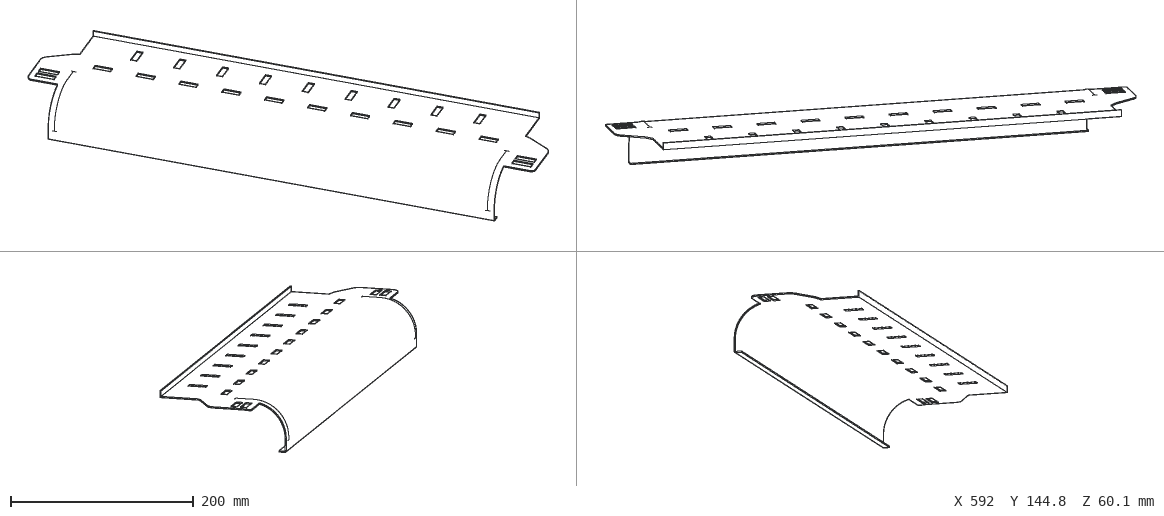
import cadquery as cq
import math

sheet_thickness = 1.5
overall_length = 592.0
body_length = 520.0
overall_depth = 144.8
overall_height = 60.1

lip_height = 7.6
joggle_rise = 1.0
joggle_rear_y = -44.0
joggle_front_y = -48.3
nose_radius = 39.3
flange_depth = 8.5
flange_bend_radius = 2.0

bead_x = 252.5
bead_width = 8.0
bead_height = 0.7
bead_embed = sheet_thickness / 2
bead_rear_y = -80.5
bead_bottom_z = 9.0

wall_y = bead_height - overall_depth
nose_axis_y = wall_y + nose_radius
rear_top_z = overall_height - lip_height + sheet_thickness
deck_top_z = rear_top_z + joggle_rise
nose_axis_z = deck_top_z - nose_radius

tab_front_y = -113.6
tab_shoulder_y = -66.0
tab_rear_radius = 10.0
tab_front_radius = 5.0

slot_pitch = 50.0
slot_length = 20.0
slot_width = 7.0
rear_slot_count = 9
rear_slot_y = -26.0
deck_slot_count = 10
deck_slot_y = -66.0
tab_slot_length = 22.0
tab_slot_x = 278.0
tab_slot_ys = (-92.6, -103.4)


def bent_sheet():
    """Bent sheet along the full length: lip, joggled deck, rounded nose and inward flange."""
    inner_radius = nose_radius - sheet_thickness
    diagonal = math.sqrt(0.5)
    bend_y = wall_y + flange_bend_radius
    bend_reach = flange_bend_radius * diagonal
    inner_bend_radius = flange_bend_radius - sheet_thickness
    inner_bend_reach = inner_bend_radius * diagonal
    deck_bottom_z = deck_top_z - sheet_thickness
    rear_bottom_z = rear_top_z - sheet_thickness
    inner_wall_y = wall_y + sheet_thickness
    profile = (
        cq.Workplane("YZ", origin=(-overall_length / 2, 0, 0))
        .moveTo(0, overall_height)
        .lineTo(-sheet_thickness, overall_height)
        .lineTo(-sheet_thickness, rear_top_z)
        .lineTo(joggle_rear_y, rear_top_z)
        .lineTo(joggle_front_y, deck_top_z)
        .lineTo(nose_axis_y, deck_top_z)
        .threePointArc(
            (nose_axis_y - nose_radius * diagonal, nose_axis_z + nose_radius * diagonal),
            (wall_y, nose_axis_z),
        )
        .lineTo(wall_y, flange_bend_radius)
        .threePointArc(
            (bend_y - bend_reach, flange_bend_radius - bend_reach),
            (bend_y, 0),
        )
        .lineTo(wall_y + flange_depth, 0)
        .lineTo(wall_y + flange_depth, sheet_thickness)
        .lineTo(bend_y, sheet_thickness)
        .threePointArc(
            (bend_y - inner_bend_reach, flange_bend_radius - inner_bend_reach),
            (inner_wall_y, flange_bend_radius),
        )
        .lineTo(inner_wall_y, nose_axis_z)
        .threePointArc(
            (nose_axis_y - inner_radius * diagonal, nose_axis_z + inner_radius * diagonal),
            (nose_axis_y, deck_bottom_z),
        )
        .lineTo(joggle_front_y, deck_bottom_z)
        .lineTo(joggle_rear_y, rear_bottom_z)
        .lineTo(0, rear_bottom_z)
        .close()
    )
    return profile.extrude(overall_length)


def plan_outline():
    """Full-height block with the plan shape: a rectangular body with a tapered tab at each end."""
    body = (
        cq.Workplane("XY", origin=(0, -overall_depth, 0))
        .box(body_length, overall_depth, overall_height, centered=(True, False, False))
    )
    half_body = body_length / 2
    half_overall = overall_length / 2
    tabs = (
        cq.Workplane("XY")
        .polyline([
            (-half_body, joggle_rear_y),
            (half_body, joggle_rear_y),
            (half_overall, tab_shoulder_y),
            (half_overall, tab_front_y),
            (-half_overall, tab_front_y),
            (-half_overall, tab_shoulder_y),
        ])
        .close()
        .extrude(overall_height)
    )
    for side in (-1, 1):
        for corner_y, radius in ((tab_shoulder_y, tab_rear_radius), (tab_front_y, tab_front_radius)):
            corner_point = (side * half_overall, corner_y, overall_height / 2)
            corner = cq.selectors.NearestToPointSelector(corner_point)
            tabs = tabs.edges("|Z").edges(corner).fillet(radius)
    return body.union(tabs)


def slot_row(count, y, size_x, size_y):
    """Row of rectangular cutters at the common pitch, centred on the part."""
    return (
        cq.Workplane("XY", origin=(0, y, 0))
        .rarray(slot_pitch, 1, count, 1)
        .rect(size_x, size_y)
        .extrude(overall_height)
    )


def tab_slots():
    """Two parallel slot cutters in each end tab."""
    places = [(side * tab_slot_x, y) for side in (-1, 1) for y in tab_slot_ys]
    return cq.Workplane("XY").pushPoints(places).rect(tab_slot_length, slot_width).extrude(overall_height)


def bead_section(plane):
    """Cross-section of a bead: two flanks rising to a crest line, with its foot inside the sheet."""
    half_width = bead_width / 2
    return (
        cq.Workplane(plane)
        .polyline([
            (-half_width, -bead_embed),
            (-half_width, 0),
            (0, bead_height),
            (half_width, 0),
            (half_width, -bead_embed),
        ])
        .close()
    )


def bead_end(plane):
    """Cone that rounds off the end of a bead in plan."""
    half_width = bead_width / 2
    return (
        cq.Workplane(plane)
        .polyline([(0, -bead_embed), (0, bead_height), (half_width, 0), (half_width, -bead_embed)])
        .close()
        .revolve(360, (0, 0), (0, 1))
    )


def bead(x):
    """Raised bead running along the deck, around the nose and down the front wall."""
    rear_centre_y = bead_rear_y - bead_width / 2
    bottom_centre_z = bead_bottom_z + bead_width / 2
    deck_plane = cq.Plane((x, nose_axis_y, deck_top_z), xDir=(1, 0, 0), normal=(0, -1, 0))
    wall_plane = cq.Plane((x, wall_y, nose_axis_z), xDir=(1, 0, 0), normal=(0, 0, -1))
    deck_run = bead_section(deck_plane).extrude(nose_axis_y - rear_centre_y)
    nose_run = bead_section(deck_plane).revolve(90, (0, -nose_radius), (1, -nose_radius))
    wall_run = bead_section(wall_plane).extrude(nose_axis_z - bottom_centre_z)
    rear_end = bead_end(cq.Plane((x, rear_centre_y, deck_top_z), xDir=(1, 0, 0), normal=(0, -1, 0)))
    bottom_end = bead_end(cq.Plane((x, wall_y, bottom_centre_z), xDir=(1, 0, 0), normal=(0, 0, -1)))
    return [deck_run, nose_run, wall_run, rear_end, bottom_end]


result = bent_sheet().intersect(plan_outline())
for side in (-1, 1):
    for piece in bead(side * bead_x):
        result = result.union(piece)
result = result.cut(slot_row(rear_slot_count, rear_slot_y, slot_width, slot_length))
result = result.cut(slot_row(deck_slot_count, deck_slot_y, slot_length, slot_width))
result = result.cut(tab_slots())